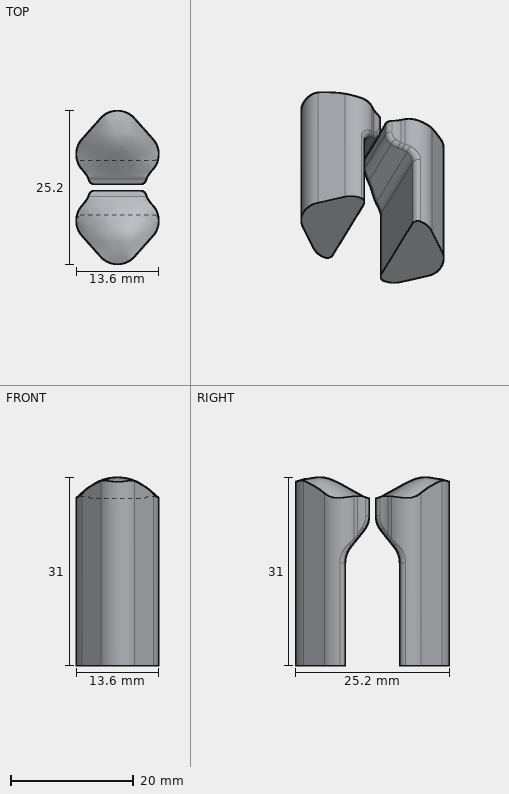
import cadquery as cq
import math

HALF_WIDTH = 6.78
TIP_Y = 12.6
INNER_Y = 0.5
ROUND_RADIUS = 3.7
SIDE_CENTRE_Y = 5.45
WAIST_START_Y = 2.48
SIDE_END_ANGLE = math.radians(40.5)

RECESS_Y = 4.43
SLOPE_TOP_Z = 23.27
SLOPE_BOTTOM_Z = 18.35
BEND_RADIUS = 4.02
EDGE_RADIUS = 1.0

TOTAL_HEIGHT = 30.95
STRIP_Y = 1.45
STRIP_Z = 27.75
STRIP_EDGE_Z = 27.45
SECTION_HALF_WIDTH = 6.8
TOP_SECTIONS = [
    (0.0, 26.95, -0.87),
    (STRIP_Y, STRIP_Z, 0.0),
    (3.03, 28.63, 1.1),
    (5.45, 29.95, 2.45),
    (7.12, 30.7, 3.28),
    (8.98, TOTAL_HEIGHT, 3.5),
    (10.05, 30.83, 3.2),
    (11.27, 30.6, 1.65),
    (TIP_Y, 30.18, -0.05),
    (13.3, 29.87, -0.93),
]
MARGIN = 3.1


def arc_point(centre, angle):
    """Point on an outline arc, with the angle measured from +X."""
    return (centre[0] + ROUND_RADIUS * math.cos(angle), centre[1] + ROUND_RADIUS * math.sin(angle))


def mirrored(point):
    return (-point[0], point[1])


def make_column():
    """Extrude the plan outline to above the crowned top."""
    tip_centre = (0, TIP_Y - ROUND_RADIUS)
    side_centre = (HALF_WIDTH - ROUND_RADIUS, SIDE_CENTRE_Y)
    normal_angle = math.atan2(side_centre[0], tip_centre[1] - side_centre[1])

    tip_end = arc_point(tip_centre, normal_angle)
    side_start = arc_point(side_centre, normal_angle)
    side_mid = arc_point(side_centre, 0)
    side_end = arc_point(side_centre, -SIDE_END_ANGLE)
    waist_start_x = side_end[0] - (side_end[1] - WAIST_START_Y) * math.tan(SIDE_END_ANGLE)
    waist_start = (waist_start_x, WAIST_START_Y)
    waist_centre = (
        waist_start[0] + ROUND_RADIUS * math.cos(SIDE_END_ANGLE),
        waist_start[1] - ROUND_RADIUS * math.sin(SIDE_END_ANGLE),
    )
    waist_end_angle = math.asin((INNER_Y - waist_centre[1]) / ROUND_RADIUS)
    waist_mid = arc_point(waist_centre, math.pi - (SIDE_END_ANGLE + waist_end_angle) / 2)
    waist_end = arc_point(waist_centre, math.pi - waist_end_angle)

    return (
        cq.Workplane("XY")
        .moveTo(*waist_end)
        .threePointArc(waist_mid, waist_start)
        .lineTo(*side_end)
        .threePointArc(side_mid, side_start)
        .lineTo(*tip_end)
        .threePointArc((0, TIP_Y), mirrored(tip_end))
        .lineTo(*mirrored(side_start))
        .threePointArc(mirrored(side_mid), mirrored(side_end))
        .lineTo(*mirrored(waist_start))
        .threePointArc(mirrored(waist_mid), mirrored(waist_end))
        .close()
        .extrude(TOTAL_HEIGHT + MARGIN)
    )


def side_prism(points):
    """Prism along X, wider than the jaw, from (Y, Z) points."""
    return cq.Workplane("YZ").polyline(points).close().extrude(HALF_WIDTH + MARGIN, both=True)


def cut_recess(body):
    """Set the lower inner face back with an S-shaped slope, then round its long edges."""
    recess = side_prism([
        (-MARGIN, -MARGIN),
        (RECESS_Y, -MARGIN),
        (RECESS_Y, SLOPE_BOTTOM_Z),
        (INNER_Y, SLOPE_TOP_Z),
        (INNER_Y, TOTAL_HEIGHT + 2 * MARGIN),
        (-MARGIN, TOTAL_HEIGHT + 2 * MARGIN),
    ])
    bends = cq.selectors.BoxSelector(
        (-MARGIN, INNER_Y - 0.3, SLOPE_BOTTOM_Z - 0.3), (MARGIN, RECESS_Y + 0.3, SLOPE_TOP_Z + 0.3)
    )
    recess = recess.edges("|X").edges(bends).fillet(BEND_RADIUS)
    body = body.cut(recess)
    return body.faces("<Y").edges("|Z").fillet(EDGE_RADIUS)


def make_top_envelope():
    """Solid below the crowned top surface, outward from the strip."""
    wires = []
    for y, centre_z, drop in TOP_SECTIONS:
        left = cq.Vector(-SECTION_HALF_WIDTH, y, centre_z - drop)
        middle = cq.Vector(0, y, centre_z)
        right = cq.Vector(SECTION_HALF_WIDTH, y, centre_z - drop)
        low_right = cq.Vector(SECTION_HALF_WIDTH, y, -MARGIN)
        low_left = cq.Vector(-SECTION_HALF_WIDTH, y, -MARGIN)
        wires.append(cq.Wire.assembleEdges([
            cq.Edge.makeSpline([left, middle, right]),
            cq.Edge.makeLine(right, low_right),
            cq.Edge.makeLine(low_right, low_left),
            cq.Edge.makeLine(low_left, left),
        ]))
    inner_part = side_prism([
        (-MARGIN, -2 * MARGIN),
        (STRIP_Y, -2 * MARGIN),
        (STRIP_Y, TOTAL_HEIGHT),
        (-MARGIN, TOTAL_HEIGHT),
    ])
    return cq.Workplane(cq.Solid.makeLoft(wires)).cut(inner_part)


def make_strip_envelope():
    """Solid below the strip, which slopes less steeply than the crowned surface."""
    slope = (STRIP_Z - STRIP_EDGE_Z) / (STRIP_Y - INNER_Y)
    return side_prism([
        (0, -MARGIN),
        (STRIP_Y, -MARGIN),
        (STRIP_Y, STRIP_Z),
        (0, STRIP_EDGE_Z - slope * INNER_Y),
    ])


def make_jaw():
    envelope = make_top_envelope().union(make_strip_envelope())
    return cut_recess(make_column()).intersect(envelope)


jaw = make_jaw()
jaws = []
for turn in (0, 180):
    jaws.append(jaw.rotate((0, 0, 0), (0, 0, 1), turn).val())

result = cq.Compound.makeCompound(jaws)